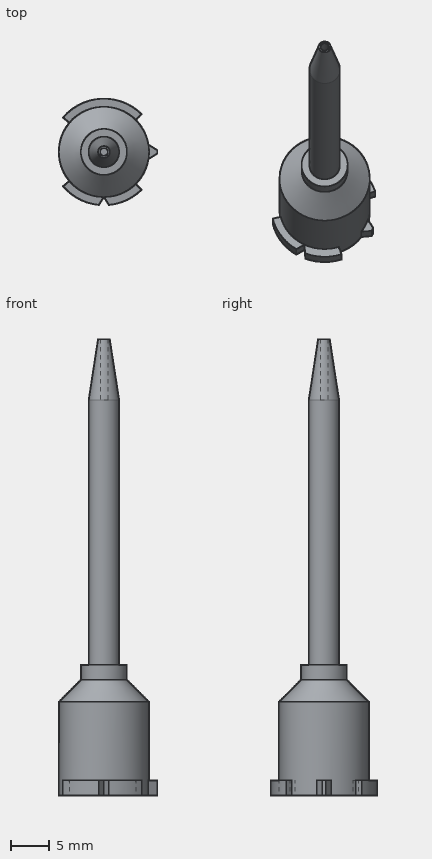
import cadquery as cq
import math

body_diameter = 11.8
collar_diameter = 6.0
tube_diameter = 4.0
tip_diameter = 1.55
total_height = 59.7
body_height = 12.25
collar_height = 1.95
tip_length = 7.95
shoulder_height = (body_diameter - collar_diameter) / 2
collar_base = body_height + shoulder_height
collar_top = collar_base + collar_height
tube_top = total_height - tip_length

bore_diameter = 1.0
bore_depth = tip_length

tab_diameter = 13.95
tab_height = 1.95
left_edge_angle = 40.0
right_edge_angle = 45.0

flank_angle = 32.0
tooth_tip_width = 0.5

body_radius = body_diameter / 2
tab_radius = tab_diameter / 2
tab_projection = tab_radius - body_radius
flank_spread = tab_projection * math.tan(math.radians(flank_angle))


def polar(radius, angle):
    """Point at the given radius and angle in degrees from +X."""
    radians = math.radians(angle)
    return radius * math.cos(radians), radius * math.sin(radians)


def make_nozzle():
    """Body, shoulder, collar, tube and tapered tip in one revolve."""
    return (
        cq.Workplane("XZ")
        .polyline([
            (0, 0),
            (body_radius, 0),
            (body_radius, body_height),
            (collar_diameter / 2, collar_base),
            (collar_diameter / 2, collar_top),
            (tube_diameter / 2, collar_top),
            (tube_diameter / 2, tube_top),
            (tip_diameter / 2, total_height),
            (0, total_height),
        ])
        .close()
        .revolve(360, (0, 0), (0, 1))
    )


def make_tab(start_angle, end_angle):
    """Sector rooted on the axis, so that it merges with the body."""
    return (
        cq.Workplane("XY")
        .lineTo(*polar(tab_radius, start_angle))
        .threePointArc(
            polar(tab_radius, (start_angle + end_angle) / 2),
            polar(tab_radius, end_angle),
        )
        .close()
        .extrude(tab_height)
    )


def make_notch():
    """V-shaped cutter with its apex on the body surface, opening past the tab rim."""
    outer_y = -body_radius - 2 * tab_projection
    return (
        cq.Workplane("XY")
        .polyline([
            (0, -body_radius),
            (-2 * flank_spread, outer_y),
            (2 * flank_spread, outer_y),
        ])
        .close()
        .extrude(tab_height)
    )


def make_tooth():
    """Tapered tooth on +X, with its root buried in the body."""
    tip_half = tooth_tip_width / 2
    root_half = tip_half + 2 * flank_spread
    root_x = body_radius - tab_projection
    return (
        cq.Workplane("XY")
        .polyline([
            (root_x, -root_half),
            (tab_radius, -tip_half),
            (tab_radius, tip_half),
            (root_x, root_half),
        ])
        .close()
        .extrude(tab_height)
    )


def make_bore():
    return (
        cq.Workplane("XY", origin=(0, 0, total_height - bore_depth))
        .circle(bore_diameter / 2)
        .extrude(bore_depth)
    )


back_tab = make_tab(right_edge_angle, 180 - left_edge_angle)
front_tab = make_tab(180 + left_edge_angle, 360 - right_edge_angle).cut(make_notch())

result = make_nozzle().union(back_tab).union(front_tab).union(make_tooth()).cut(make_bore())